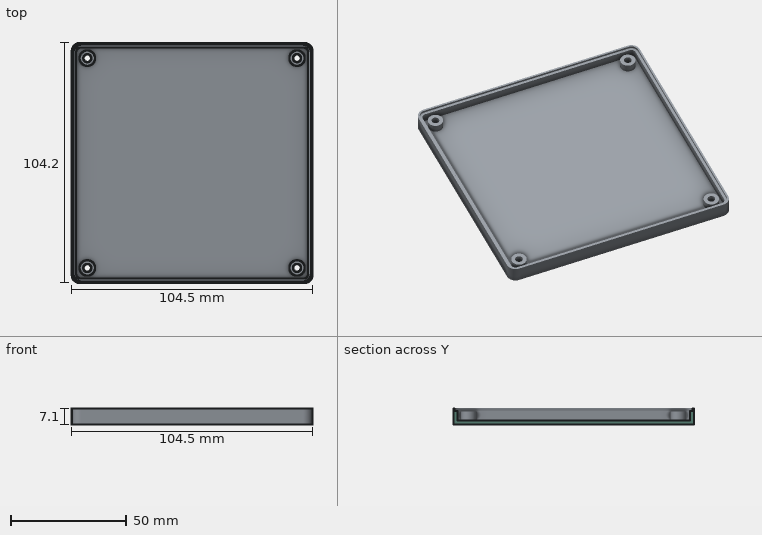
import cadquery as cq

length = 104.5
width = 104.2
height = 7.1
corner_radius = 4.0

floor_thickness = 2.0
wall_thickness = 2.0
rim_thickness = 0.8
rim_step_depth = 1.0

boss_diameter = 6.7
boss_hole_diameter = 3.3
boss_height = 3.5
boss_spacing = 90.9


def rounded_block(inset, bottom, top):
    """Upright block whose sides and corners are inset from the tray outline."""
    return (
        cq.Workplane("XY")
        .workplane(offset=bottom)
        .rect(length - 2 * inset, width - 2 * inset)
        .extrude(top - bottom)
        .edges("|Z")
        .fillet(corner_radius - inset)
    )


def boss_cylinders(diameter, bottom, top):
    """One upright cylinder at each screw position."""
    return (
        cq.Workplane("XY")
        .workplane(offset=bottom)
        .rect(boss_spacing, boss_spacing, forConstruction=True)
        .vertices()
        .circle(diameter / 2)
        .extrude(top - bottom)
    )


tray = rounded_block(0, 0, height)
tray = tray.cut(rounded_block(wall_thickness, floor_thickness, height))
tray = tray.cut(rounded_block(rim_thickness, height - rim_step_depth, height))

boss_top = floor_thickness + boss_height
tray = tray.union(boss_cylinders(boss_diameter, floor_thickness, boss_top))
result = tray.cut(boss_cylinders(boss_hole_diameter, 0, boss_top))